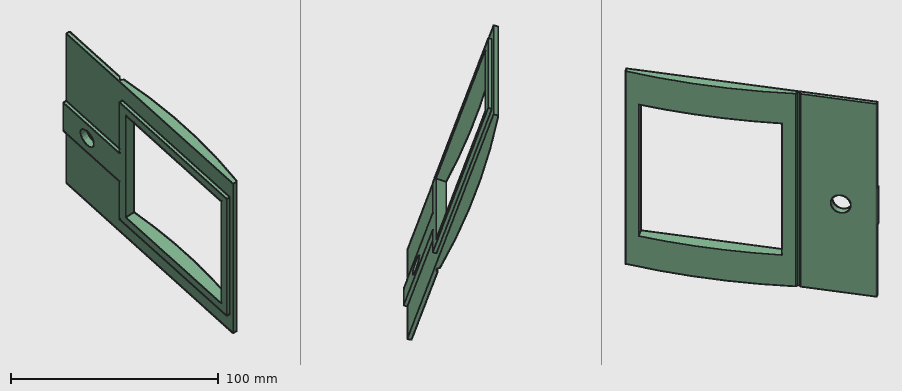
import cadquery as cq

width = 124.5
height = 111.0
depth = 7.5
raised_depth = 1.9
flat_back = 4.0
edge_round = 0.5

groove_left = 37.6
groove_right = 40.1
groove_bottom_width = 1.0
groove_bottom = 3.1
dome_edge = 4.4

frame_left = 42.0
frame_right = 122.0
frame_height = 86.9
window_left = 46.7
window_right = 117.7
window_height = 75.7
middle_z = height / 2
tab_middle_z = 50.7
tab_height = 20.9
hole_x = 17.8
hole_diameter = 10.0


def block(left, right, z_middle, block_height, thickness):
    """Block between two X positions, starting at the front face Y = 0."""
    return (
        cq.Workplane("XY")
        .box(right - left, thickness, block_height, centered=(False, False, True))
        .translate((left, 0, z_middle))
    )


def domed_plate():
    """Flat-fronted plate with a groove and a shallow dome on its back."""
    groove_middle = (groove_left + groove_right) / 2
    dome_middle = (groove_right + width) / 2
    plate = (
        cq.Workplane("XY")
        .moveTo(0, raised_depth)
        .lineTo(width, raised_depth)
        .lineTo(width, dome_edge)
        .threePointArc((dome_middle, depth), (groove_right, dome_edge))
        .lineTo(groove_middle + groove_bottom_width / 2, groove_bottom)
        .lineTo(groove_middle - groove_bottom_width / 2, groove_bottom)
        .lineTo(groove_left, flat_back)
        .lineTo(0, flat_back)
        .close()
        .extrude(height)
    )
    left_edge = cq.selectors.NearestToPointSelector((0, flat_back, middle_z))
    right_edge = cq.selectors.NearestToPointSelector((width, dome_edge, middle_z))
    return plate.edges(left_edge).fillet(edge_round).edges(right_edge).fillet(edge_round)


frame = block(frame_left, frame_right, middle_z, frame_height, raised_depth)
tab = block(0, frame_left, tab_middle_z, tab_height, raised_depth)
window = block(window_left, window_right, middle_z, window_height, depth)
hole = (
    cq.Workplane("XZ")
    .center(hole_x, tab_middle_z)
    .circle(hole_diameter / 2)
    .extrude(-depth)
)

result = domed_plate().union(frame).union(tab).cut(window).cut(hole)